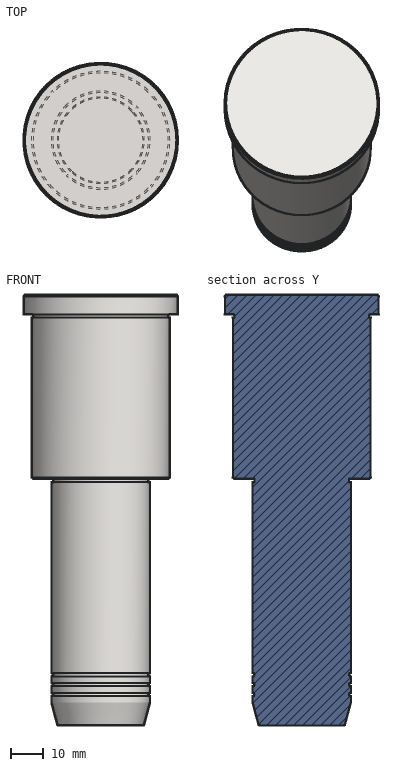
import cadquery as cq
import math

head_diameter = 47.0
head_height = 6.0
head_chamfer = 0.5

body_diameter = 42.0
body_length = 50.0
body_chamfer = 0.5

pin_diameter = 30.0
pin_length = 75.0
neck_depth = 0.5
neck_length = 1.0

taper_length = 7.0
taper_angle = 15.0
tip_chamfer = 0.3

groove_radius = 0.5
groove_count = 3
groove_pitch = 3.0
lowest_groove_height = 9.5

head_bottom = pin_length + body_length
pin_radius = pin_diameter / 2
tip_radius = pin_radius - taper_length * math.tan(math.radians(taper_angle))


def cylinder(diameter, bottom, height):
    return cq.Workplane("XY").workplane(offset=bottom).circle(diameter / 2).extrude(height)


def revolve_about_z(profile):
    """Turn a closed (radius, height) profile all the way round the Z axis."""
    return profile.close().revolve(360, (0, 0, 0), (0, 1, 0))


def make_head():
    return cylinder(head_diameter, head_bottom, head_height).faces(">Z").edges().chamfer(head_chamfer)


def make_body():
    return cylinder(body_diameter, pin_length, body_length).faces("<Z").edges().chamfer(body_chamfer)


def make_pin():
    neck_radius = pin_radius - neck_depth
    neck_bottom = pin_length - neck_length
    profile = (
        cq.Workplane("XZ")
        .lineTo(tip_radius, 0)
        .lineTo(pin_radius, taper_length)
        .lineTo(pin_radius, neck_bottom)
        .lineTo(neck_radius, neck_bottom)
        .lineTo(neck_radius, pin_length)
        .lineTo(0, pin_length)
    )
    return revolve_about_z(profile).faces("<Z").edges().chamfer(tip_chamfer)


def make_groove(surface_radius, middle):
    """Half-round ring to remove from a cylinder of `surface_radius`, centred at height `middle`."""
    profile = (
        cq.Workplane("XZ")
        .moveTo(surface_radius, middle - groove_radius)
        .threePointArc((surface_radius - groove_radius, middle), (surface_radius, middle + groove_radius))
    )
    return revolve_about_z(profile)


body = make_body().cut(make_groove(body_diameter / 2, head_bottom - groove_radius))

pin = make_pin()
for groove_index in range(groove_count):
    groove_height = lowest_groove_height + groove_index * groove_pitch
    pin = pin.cut(make_groove(pin_radius, groove_height))

result = make_head().union(body).union(pin)